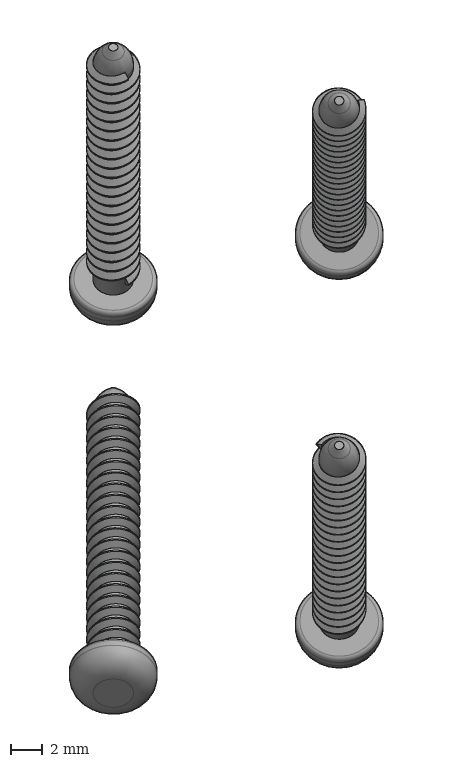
import cadquery as cq

total_length = 27.0
half_length = total_length / 2

head_radius = 2.795
head_height = 2.25
head_dome_radius = 1.5
head_rim_radius = 0.3

shank_radius = 1.3
tip_height = 1.84
tip_middle_radius = 0.7
tip_cone_height = 0.45
tip_flat_radius = 0.3
tip_bulge_radius = 1.1
tip_bulge_height = 1.03

thread_radius = 1.7
thread_pitch = 1.0
thread_turns = 22
thread_start_above_head = 1.22
thread_root_width = 0.68
thread_crest_width = 0.1

head_bottom = -half_length
head_top = head_bottom + head_height
tip_end = half_length


def make_head():
    """Pan head: a disc with a rounded outer end and a small rim round."""
    head = cq.Workplane("XY", origin=(0, 0, head_bottom)).circle(head_radius).extrude(head_height)
    head = head.faces("<Z").edges().fillet(head_dome_radius)
    return head.faces(">Z").edges().fillet(head_rim_radius)


def make_shank():
    """Plain core resting on the head, ending in a bulged point with a flat end."""
    return (
        cq.Workplane("XZ")
        .moveTo(0, head_top)
        .lineTo(shank_radius, head_top)
        .lineTo(shank_radius, tip_end - tip_height)
        .threePointArc(
            (tip_bulge_radius, tip_end - tip_bulge_height),
            (tip_middle_radius, tip_end - tip_cone_height),
        )
        .lineTo(tip_flat_radius, tip_end)
        .lineTo(0, tip_end)
        .close()
        .revolve(360, (0, 0, 0), (0, 1, 0))
    )


def make_thread():
    """Right-handed helical ridge whose root lies on the cylinder of the shank."""
    start = head_top + thread_start_above_head
    path = cq.Wire.makeHelix(thread_pitch, thread_pitch * thread_turns, shank_radius)
    return (
        cq.Workplane("XZ")
        .polyline([
            (shank_radius, -thread_root_width / 2),
            (thread_radius, -thread_crest_width / 2),
            (thread_radius, thread_crest_width / 2),
            (shank_radius, thread_root_width / 2),
        ])
        .close()
        .sweep(cq.Workplane(path), isFrenet=True)
        .translate((0, 0, start))
    )


head = make_head()
shank = make_shank()
thread = make_thread()

result = cq.Compound.makeCompound([head.val(), shank.val(), thread.val()])